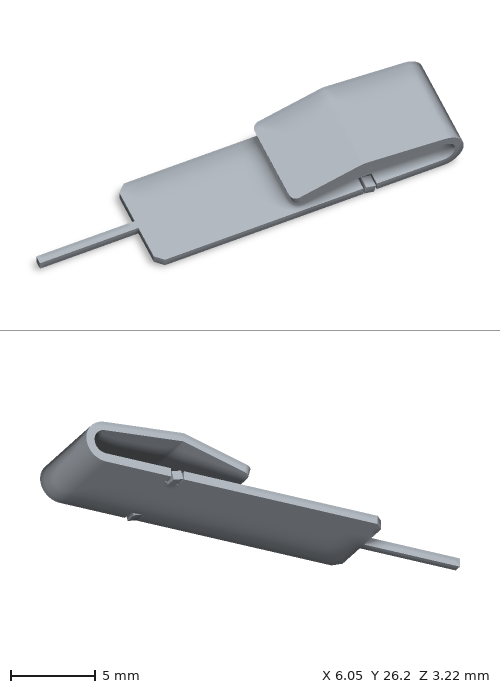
import cadquery as cq
import math

length = 26.2
width = 6.05
height = 3.22
thickness = 0.55

plate_length = 19.83
plate_chamfer = 0.5
pin_width = 0.55

loop_radius = 1.3
rise_angle = 5.0
fall_angle = 15.0
crest_radius = 0.92
arm_reach = 11.08
tip_radius = 0.5

tab_drop = 0.15
tab_depth = 0.8
tab_length = 0.65
tab_tilt = 15.0
notch_length = 0.86
notch_center = 6.05

back_y = length / 2
half_width = width / 2


def polar(center, radius, degrees):
    """Point on a circle in the YZ plane, the angle measured from +Y towards +Z."""
    angle = math.radians(degrees)
    return center[0] + radius * math.cos(angle), center[1] + radius * math.sin(angle)


def make_strip():
    """Plate, loop and arm as one bent strip extruded across the width."""
    rise = math.radians(rise_angle)
    fall = math.radians(fall_angle)
    loop_inner = loop_radius - thickness
    crest_inner = crest_radius - thickness
    loop = (back_y - loop_radius, loop_radius)

    crest_z = height - tab_drop - crest_radius
    radius_step = loop_radius - crest_radius
    rise_length = (crest_z - loop_radius - radius_step * math.cos(rise)) / math.sin(rise)
    crest_y = loop[0] + radius_step * math.sin(rise) - rise_length * math.cos(rise)
    crest = (crest_y, crest_z)

    rise_normal = 90 - rise_angle
    fall_normal = 90 + fall_angle
    crest_middle = (rise_normal + fall_normal) / 2
    loop_middle = (rise_normal - 90) / 2

    fall_start = polar(crest, crest_radius, fall_normal)
    tip_y = back_y - arm_reach
    tip_outer = (tip_y, fall_start[1] - (fall_start[0] - tip_y) * math.tan(fall))
    tip_inner = polar(tip_outer, thickness, fall_normal + 180)
    plate_end = back_y - plate_length

    strip = (
        cq.Workplane("YZ")
        .moveTo(plate_end, 0)
        .lineTo(loop[0], 0)
        .threePointArc(polar(loop, loop_radius, loop_middle), polar(loop, loop_radius, rise_normal))
        .lineTo(*polar(crest, crest_radius, rise_normal))
        .threePointArc(polar(crest, crest_radius, crest_middle), fall_start)
        .lineTo(*tip_outer)
        .lineTo(*tip_inner)
        .lineTo(*polar(crest, crest_inner, fall_normal))
        .threePointArc(polar(crest, crest_inner, crest_middle), polar(crest, crest_inner, rise_normal))
        .lineTo(*polar(loop, loop_inner, rise_normal))
        .threePointArc(polar(loop, loop_inner, loop_middle), (loop[0], thickness))
        .lineTo(plate_end, thickness)
        .close()
        .extrude(half_width, both=True)
    )

    across_tip = cq.Vector(0, tip_outer[0] - tip_inner[0], tip_outer[1] - tip_inner[1])
    strip = strip.edges(cq.selectors.ParallelDirSelector(across_tip)).edges("<Y").fillet(tip_radius)
    return strip.edges("|Z").edges("<Y").chamfer(plate_chamfer)


def make_pin():
    """Narrow pin continuing the plate at its free end."""
    pin_length = length - plate_length
    return cq.Workplane("XY").box(pin_width, pin_length, thickness, centered=(True, False, False)).translate(
        (0, -length / 2, 0)
    )


def side_box(side, box_length):
    """Sheet-thick block as deep as a tab, at one edge of the strip, centred on Y = Z = 0."""
    return cq.Workplane("XY").box(tab_depth, box_length, thickness).translate(
        (side * (half_width - tab_depth / 2), 0, 0)
    )


def add_side_tab(body, side):
    """Cut a notch in the plate edge and fill it with a tab twisted about X."""
    tilt = math.radians(tab_tilt)
    half_tab_height = (tab_length * math.sin(tilt) + thickness * math.cos(tilt)) / 2
    tab_y = back_y - notch_center
    notch = side_box(side, notch_length).translate((0, tab_y, thickness / 2))
    tab = side_box(side, tab_length).rotate((0, 0, 0), (1, 0, 0), -tab_tilt)
    return body.cut(notch).union(tab.translate((0, tab_y, half_tab_height - tab_drop)))


clip = make_strip().union(make_pin())
for side in (-1, 1):
    clip = add_side_tab(clip, side)

result = clip.translate((0, 0, tab_drop - height / 2))